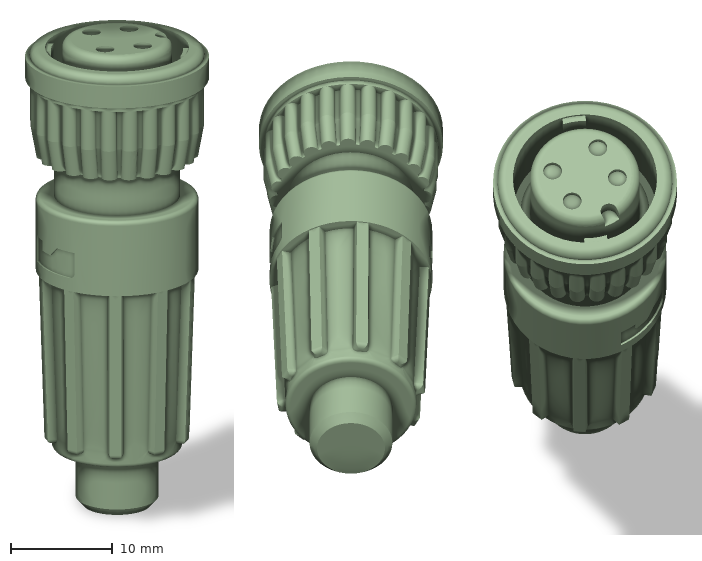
import cadquery as cq

TOTAL_HEIGHT = 48.4

STEM_CHAMFER_HEIGHT = 0.8
GRIP_BOTTOM = 5.95
RIB_BOTTOM = 7.1
COLLAR_BOTTOM = 24.45
COLLAR_TOP = 32.2
NUT_BOTTOM = 36.5
KNURL_BEND = 39.7
CAVITY_FLOOR = 40.15
KNURL_TOP = 43.85
FLANGE_BOTTOM = 44.35
FLANGE_TOP = 46.65
NUT_TOP = 47.5

STEM_RADIUS = 4.05
STEM_CHAMFER_WIDTH = 0.75
GRIP_RADIUS_BOTTOM = 6.4
GRIP_DRAFT = 0.65
GRIP_FILLET = 0.45
COLLAR_RADIUS = 8.0
COLLAR_FILLET = 0.45
NECK_RADIUS = 6.2

BODY_TURN = 19.8
NUT_TURN = -21.0

RIB_COUNT = 10
RIB_CREST_RADIUS = 7.85
RIB_CREST_WIDTH = 1.15
RIB_FOOT_RADIUS = GRIP_RADIUS_BOTTOM + GRIP_DRAFT
RIB_FOOT_WIDTH = 1.55
RIB_ROOT_DEPTH = 0.95
RIB_DRAFT = 0.6
RIB_END_FILLET = 0.5

RECESS_HALF_WIDTH = 3.2
RECESS_BOTTOM = 25.8
RECESS_HEIGHT = 2.7
RECESS_NOTCH_DEPTH = 1.0
RECESS_NOTCH_WIDTH = 1.5
RECESS_CORNER_RADIUS = 0.6
RECESS_DEPTH = 0.2

NUT_RADIUS = 8.55
NUT_FILLET = 0.77
FLANGE_DIAMETER = 18.05
FLANGE_RADIUS = FLANGE_DIAMETER / 2
CAVITY_RADIUS = 7.05
KNURL_COUNT = 24
KNURL_LOBE_RADIUS = 0.77
KNURL_FLOOR_RADIUS = NUT_RADIUS - KNURL_LOBE_RADIUS
KNURL_TAPER = 0.6
LUG_ANGLE = 90 + NUT_TURN
LUG_WIDTH = 2.27
LUG_INNER_RADIUS = 6.5
LUG_HEIGHT = 1.45
LUG_SETBACK = 0.25

INSERT_RADIUS = 5.35
INSERT_FILLET = 0.8
SEAL_TUBE_RADIUS = 0.5
SEAL_RADIUS = INSERT_RADIUS + SEAL_TUBE_RADIUS
KEYWAY_WIDTH = 1.65
KEYWAY_END_RADIUS = 3.85
KEYWAY_DEPTH = 1.45
PIN_SPACING_X = 5.15
PIN_SPACING_Y = 3.8
PIN_HOLE_DIAMETER = 1.85
PIN_HOLE_DEPTH = 0.5


def cylinder(radius, bottom, top):
    return cq.Workplane("XY").workplane(offset=bottom).circle(radius).extrude(top - bottom)


def cone(bottom_radius, top_radius, bottom, top):
    return (
        cq.Workplane("XZ")
        .moveTo(0, bottom)
        .lineTo(bottom_radius, bottom)
        .lineTo(top_radius, top)
        .lineTo(0, top)
        .close()
        .revolve(360, (0, 0), (0, 1))
    )


def around_axis(shape, count, first_angle):
    """List of solids: copies of a shape spread evenly around the Z axis."""
    angles = [first_angle + index * 360 / count for index in range(count)]
    return [shape.rotate((0, 0, 0), (0, 0, 1), angle).val() for angle in angles]


def union_all(base, solids):
    return cq.Workplane(base.val().fuse(*solids).clean())


def make_stem():
    tip_radius = STEM_RADIUS - STEM_CHAMFER_WIDTH
    tip = cone(tip_radius, STEM_RADIUS, 0, STEM_CHAMFER_HEIGHT)
    return tip.union(cylinder(STEM_RADIUS, STEM_CHAMFER_HEIGHT, GRIP_BOTTOM))


def rib_section(z, inward):
    """Trapezoid cross-section of a rib on the +X side, moved toward the axis by inward."""
    crest = RIB_CREST_RADIUS - inward
    foot = RIB_FOOT_RADIUS - inward
    root = foot - RIB_ROOT_DEPTH
    half_crest = RIB_CREST_WIDTH / 2
    flank_slope = (RIB_FOOT_WIDTH - RIB_CREST_WIDTH) / 2 / (crest - foot)
    half_root = half_crest + flank_slope * (crest - root)
    corners = [(root, -half_root), (crest, -half_crest), (crest, half_crest), (root, half_root)]
    return cq.Wire.makePolygon([cq.Vector(x, y, z) for x, y in corners], close=True)


def make_rib():
    lower = rib_section(RIB_BOTTOM, RIB_DRAFT)
    upper = rib_section(COLLAR_BOTTOM, 0)
    rib = cq.Workplane(cq.Solid.makeLoft([lower, upper], True))
    return rib.faces("<Z").edges("not <X").fillet(RIB_END_FILLET)


def make_grip():
    """Tapered grip with its ribs."""
    core = cone(GRIP_RADIUS_BOTTOM, GRIP_RADIUS_BOTTOM + GRIP_DRAFT, GRIP_BOTTOM, COLLAR_BOTTOM)
    core = core.faces("<Z").edges().fillet(GRIP_FILLET)
    first_angle = BODY_TURN - 90 + 180 / RIB_COUNT
    return union_all(core, around_axis(make_rib(), RIB_COUNT, first_angle))


def make_recess_cutter():
    """Notched shallow recess on the -Y side of the collar, following its curve."""
    top = RECESS_BOTTOM + RECESS_HEIGHT
    notch = top - RECESS_NOTCH_DEPTH
    outline = (
        cq.Workplane("XZ")
        .moveTo(-RECESS_HALF_WIDTH, RECESS_BOTTOM)
        .lineTo(RECESS_HALF_WIDTH - RECESS_CORNER_RADIUS, RECESS_BOTTOM)
        .radiusArc((RECESS_HALF_WIDTH, RECESS_BOTTOM + RECESS_CORNER_RADIUS), -RECESS_CORNER_RADIUS)
        .lineTo(RECESS_HALF_WIDTH, top)
        .lineTo(RECESS_NOTCH_DEPTH, top)
        .lineTo(0, notch)
        .lineTo(-RECESS_NOTCH_WIDTH, notch)
        .lineTo(-RECESS_NOTCH_WIDTH, top)
        .lineTo(-RECESS_HALF_WIDTH, top)
        .close()
        .extrude(FLANGE_RADIUS)
    )
    return outline.cut(cylinder(COLLAR_RADIUS - RECESS_DEPTH, COLLAR_BOTTOM, COLLAR_TOP))


def make_collar():
    collar = cylinder(COLLAR_RADIUS, COLLAR_BOTTOM, COLLAR_TOP)
    collar = collar.faces(">Z").edges().fillet(COLLAR_FILLET)
    for cutter in around_axis(make_recess_cutter(), 2, BODY_TURN):
        collar = collar.cut(cq.Workplane(cutter))
    return collar


def make_knurl_lobe():
    """One rounded lobe on the +X side, upright above the bend and leaning inward below it."""
    upright = (
        cq.Workplane("XY")
        .workplane(offset=KNURL_BEND)
        .center(KNURL_FLOOR_RADIUS, 0)
        .circle(KNURL_LOBE_RADIUS)
        .extrude(KNURL_TOP - KNURL_BEND)
    )
    leaning = (
        cq.Workplane("XY")
        .workplane(offset=NUT_BOTTOM)
        .center(KNURL_FLOOR_RADIUS - KNURL_TAPER, 0)
        .circle(KNURL_LOBE_RADIUS)
        .workplane(offset=KNURL_BEND - NUT_BOTTOM)
        .center(KNURL_TAPER, 0)
        .circle(KNURL_LOBE_RADIUS)
        .loft(ruled=True)
    )
    return upright.union(leaning)


def make_knurl():
    low_floor = KNURL_FLOOR_RADIUS - KNURL_TAPER
    floor = cone(low_floor, KNURL_FLOOR_RADIUS, NUT_BOTTOM, KNURL_BEND)
    floor = floor.union(cylinder(KNURL_FLOOR_RADIUS, KNURL_BEND, KNURL_TOP))
    return union_all(floor, around_axis(make_knurl_lobe(), KNURL_COUNT, NUT_TURN))


def make_lug():
    """Bayonet lug on the +X side of the nut wall."""
    top = NUT_TOP - LUG_SETBACK
    bottom = top - LUG_HEIGHT
    outer_radius = (CAVITY_RADIUS + NUT_RADIUS) / 2
    ring = cylinder(outer_radius, bottom, top).cut(cylinder(LUG_INNER_RADIUS, bottom, top))
    slab = cq.Workplane("XY").box(outer_radius, LUG_WIDTH, TOTAL_HEIGHT, centered=(False, True, False))
    return ring.intersect(slab)


def make_nut():
    nut = cylinder(NUT_RADIUS, KNURL_TOP, NUT_TOP)
    nut = nut.faces(">Z").edges().fillet(NUT_FILLET)
    nut = nut.union(cylinder(FLANGE_RADIUS, FLANGE_BOTTOM, FLANGE_TOP))
    nut = nut.union(make_knurl())
    nut = nut.cut(cylinder(CAVITY_RADIUS, CAVITY_FLOOR, NUT_TOP))
    return union_all(nut, around_axis(make_lug(), 2, LUG_ANGLE))


def make_seal():
    return cq.Workplane(
        cq.Solid.makeTorus(SEAL_RADIUS, SEAL_TUBE_RADIUS, cq.Vector(0, 0, CAVITY_FLOOR))
    )


def make_keyway_cutter():
    bottom = TOTAL_HEIGHT - KEYWAY_DEPTH
    end_center = KEYWAY_END_RADIUS + KEYWAY_WIDTH / 2
    rounded_end = cq.Workplane("XY").center(0, end_center).circle(KEYWAY_WIDTH / 2).extrude(KEYWAY_DEPTH)
    straight = (
        cq.Workplane("XY")
        .center(0, end_center)
        .box(KEYWAY_WIDTH, KEYWAY_WIDTH, KEYWAY_DEPTH, centered=(True, False, False))
    )
    return rounded_end.union(straight).translate((0, 0, bottom))


def make_insert():
    insert = cylinder(INSERT_RADIUS, CAVITY_FLOOR, TOTAL_HEIGHT)
    insert = insert.faces(">Z").edges().fillet(INSERT_FILLET)
    insert = (
        insert.faces(">Z")
        .workplane(origin=(0, 0, TOTAL_HEIGHT))
        .rarray(PIN_SPACING_X, PIN_SPACING_Y, 2, 2)
        .hole(PIN_HOLE_DIAMETER, PIN_HOLE_DEPTH)
    )
    return insert.cut(make_keyway_cutter())


neck = cylinder(NECK_RADIUS, COLLAR_TOP, NUT_BOTTOM)
result = make_stem().union(make_grip()).union(make_collar()).union(neck)
result = result.union(make_nut()).union(make_seal()).union(make_insert())